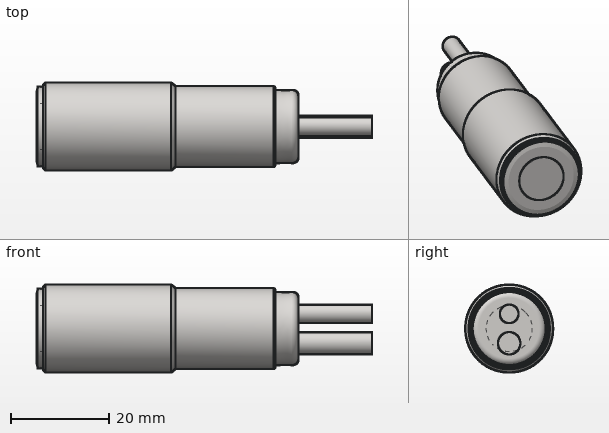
import cadquery as cq


RIM_START = 0.25
SHOULDER_START = 1.3
HOUSING_END = 48.8
PLUG_END = 53.5
CABLE_LENGTH = 15.0

CORE_RADIUS = 4.7
CAP_FACE_RADIUS = 6.9
CAP_RADIUS = 8.0

RIM_RADIUS = 8.2
HOUSING_RADIUS = 9.0
REAR_RADIUS = 8.3
FRONT_CHAMFER = 0.6
STEP_START = 27.5
STEP_LENGTH = 0.85
SHOULDER_RADIUS = HOUSING_RADIUS - FRONT_CHAMFER
REAR_CHAMFER = 0.4

PLUG_RADIUS = 7.5
PLUG_COLLAR_LENGTH = 0.65
PLUG_FILLET = 1.25
PLUG_WAIST_DEPTH = 0.05

CABLE_OFFSET = 3.0
UPPER_CABLE_RADIUS = 1.9
LOWER_CABLE_RADIUS = 2.28


def turn(profile):
    """Revolve a half profile, drawn as (x, radius), about the X axis."""
    return profile.close().revolve(360, (0, 0, 0), (1, 0, 0))


def make_core():
    """Round disc in the middle of the sensing face."""
    return cq.Workplane("YZ").circle(CORE_RADIUS).extrude(SHOULDER_START)


def make_cap():
    """Ring around the core, set inside the housing rim, with a shallow bevel around its face."""
    return turn(
        cq.Workplane("XY")
        .moveTo(0, CORE_RADIUS)
        .lineTo(0, CAP_FACE_RADIUS)
        .lineTo(RIM_START, CAP_RADIUS)
        .lineTo(SHOULDER_START, CAP_RADIUS)
        .lineTo(SHOULDER_START, CORE_RADIUS)
    )


def make_housing():
    """Stepped barrel: a thin front rim holds the cap, a cone joins the two diameters."""
    return turn(
        cq.Workplane("XY")
        .moveTo(SHOULDER_START, 0)
        .lineTo(SHOULDER_START, CAP_RADIUS)
        .lineTo(RIM_START, CAP_RADIUS)
        .lineTo(RIM_START, RIM_RADIUS)
        .lineTo(SHOULDER_START, RIM_RADIUS)
        .lineTo(SHOULDER_START, SHOULDER_RADIUS)
        .lineTo(SHOULDER_START + FRONT_CHAMFER, HOUSING_RADIUS)
        .lineTo(STEP_START, HOUSING_RADIUS)
        .lineTo(STEP_START + STEP_LENGTH, REAR_RADIUS)
        .lineTo(HOUSING_END - REAR_CHAMFER, REAR_RADIUS)
        .lineTo(HOUSING_END, REAR_RADIUS - REAR_CHAMFER)
        .lineTo(HOUSING_END, 0)
    )


def make_plug():
    """Rear plug: a short collar, a slightly hollowed waist and a rounded end."""
    waist_start = HOUSING_END + PLUG_COLLAR_LENGTH
    waist_end = PLUG_END - PLUG_FILLET
    waist_middle = (waist_start + waist_end) / 2
    return turn(
        cq.Workplane("XY")
        .moveTo(HOUSING_END, 0)
        .lineTo(HOUSING_END, PLUG_RADIUS)
        .lineTo(waist_start, PLUG_RADIUS)
        .threePointArc((waist_middle, PLUG_RADIUS - PLUG_WAIST_DEPTH), (waist_end, PLUG_RADIUS))
        .radiusArc((PLUG_END, PLUG_RADIUS - PLUG_FILLET), PLUG_FILLET)
        .lineTo(PLUG_END, 0)
    )


def make_cable(radius, height):
    """Straight cable leaving the plug face at the given height above the axis."""
    return (
        cq.Workplane("YZ", origin=(PLUG_END, 0, height))
        .circle(radius)
        .extrude(CABLE_LENGTH)
    )


core = make_core()
cap = make_cap()
housing = make_housing()
plug = make_plug()
cables = [
    make_cable(radius, height)
    for radius, height in (
        (UPPER_CABLE_RADIUS, CABLE_OFFSET),
        (LOWER_CABLE_RADIUS, -CABLE_OFFSET),
    )
]

result = cq.Compound.makeCompound(
    [core.val(), cap.val(), housing.val(), plug.val()] + [cable.val() for cable in cables]
)